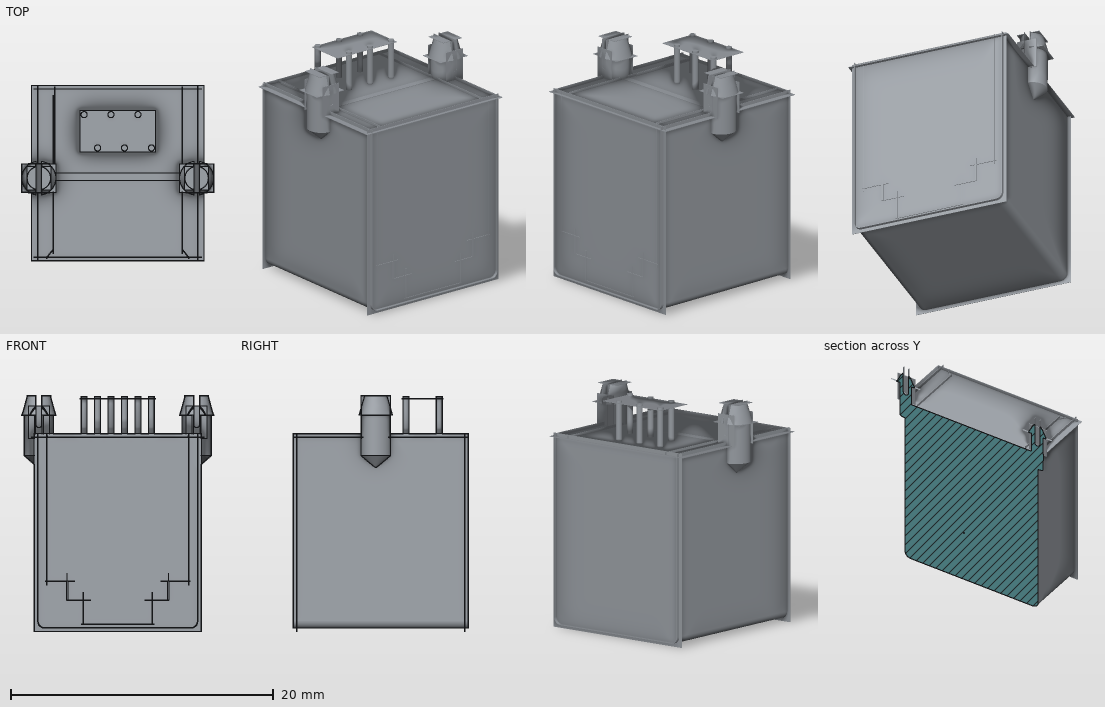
import cadquery as cq


sheet = 0.04

body_half_x = 6.1
body_length = 12.85
body_half_y = body_length / 2
body_bottom = 0.27
body_top = 14.82
corner_radius = 0.54

overrun = 0.27
end_wall_half_x = body_half_x + overrun
top_wall_half_x = 6.58
wall_length = 13.36
wall_half_y = wall_length / 2
wall_top = body_top + overrun

ridge_height = 0.05
shoulder_z = 3.85
ledge_z = 2.41
sill_z = 0.55
mouth_half_x = 5.4
step_half_x = 3.85
latch_half_x = 2.65
step_ridge_width = 0.15
ridge_tail = 0.58
ridge_tip = 0.13
shoulder_inner_x = 3.3
ledge_inner_x = 2.07

rail_x = 4.9
rail_back_y = 6.56
left_rail_back_y = 5.93
rail_height = 0.22
rail_front_y = -5.83
flare_height = 0.1
inner_rail_x = 4.78
inner_rail_front_y = 0.72
band_height = 0.04
band_width = 0.55

pin_radius = 0.23
pin_pitch = 1.02
pin_count = 6
pin_back_y = 4.46
pin_row_spacing = 2.54
pin_top = 17.9
pin_sheet_top = 17.75
pin_sheet_half_x = 2.88
pin_sheet_half_y = 1.56

peg_x = 6.0
peg_y = -0.38
peg_radius = 1.13
peg_tip_z = 12.45
peg_shoulder_z = 13.41
barb_bottom = 16.49
barb_top = 17.98
barb_bottom_radius = 1.3
barb_top_radius = 0.88
collar_width = 2.65
collar_half_x = collar_width / 2
collar_half_y = 1.08
cap_half_x = 0.92
cap_half_y = 0.9
slot_half_width = 0.22
slot_bottom = 15.53
cheek_bottom = 14.73
cheek_top = 17.2
cheek_half_x = 0.81
cheek_y = 1.11


def block(x0, x1, y0, y1, z0, z1):
    """Axis-aligned box between two opposite corners."""
    return cq.Workplane("XY").box(x1 - x0, y1 - y0, z1 - z0, centered=False).translate((x0, y0, z0))


def centred_block(half_x, half_y, z0, z1):
    """Box centred on the Z axis."""
    return block(-half_x, half_x, -half_y, half_y, z0, z1)


def rounded_block(half_y, z1):
    """Housing section with rounded lower corners, running along Y."""
    section = centred_block(body_half_x, half_y, body_bottom, z1)
    return section.edges("|Y and <Z").fillet(corner_radius)


def both_sides(piece):
    """The piece together with its mirror image across X = 0."""
    return piece.union(piece.mirror("YZ"))


def make_housing():
    housing = rounded_block(body_half_y, body_top)

    for inner_y in (-body_half_y, body_half_y - sheet):
        housing = housing.union(
            block(-end_wall_half_x, end_wall_half_x, inner_y, inner_y + sheet, 0, wall_top)
        )

    housing = housing.union(centred_block(top_wall_half_x, wall_half_y, body_top - sheet, body_top))
    trough_inside = centred_block(body_half_x - sheet, wall_half_y, body_bottom + sheet, wall_top)
    trough_inside = trough_inside.edges("|Y and <Z").fillet(corner_radius - sheet)
    return housing.union(rounded_block(wall_half_y, wall_top).cut(trough_inside))


def front_ridge(x0, x1, z0, z1):
    """Ridge on the front face, rooted in the front wall."""
    return block(x0, x1, -body_half_y - ridge_height, -body_half_y + sheet, z0, z1)


def make_front_ridges():
    half = sheet / 2
    ridges = front_ridge(-mouth_half_x - half, -mouth_half_x + half, shoulder_z - ridge_tail / 2, wall_top)
    for x0, x1, z in (
        (-mouth_half_x - ridge_tip, -shoulder_inner_x, shoulder_z),
        (-step_half_x - half, -ledge_inner_x, ledge_z),
        (-latch_half_x - ridge_tip, 0, sill_z),
    ):
        ridges = ridges.union(front_ridge(x0, x1, z - half, z + half))
    for x, width, z0, z1 in (
        (step_half_x, step_ridge_width, ledge_z, shoulder_z),
        (step_half_x + half, sheet, shoulder_z, shoulder_z + ridge_tail),
        (latch_half_x, sheet, sill_z, ledge_z + ridge_tail),
    ):
        ridges = ridges.union(front_ridge(-x - width / 2, -x + width / 2, z0, z1))
    return both_sides(ridges)


def make_top_ridges():
    base_z = body_top - sheet
    rail_top = body_top + rail_height
    rail_end_y = rail_front_y - ridge_tail / 2
    left_rail = block(-rail_x - sheet, -rail_x, rail_end_y, left_rail_back_y, base_z, rail_top)
    right_rail = block(rail_x, rail_x + sheet, rail_end_y, rail_back_y, base_z, rail_top)
    inner_rail = block(
        -inner_rail_x - sheet, -inner_rail_x, inner_rail_front_y, rail_back_y, base_z, rail_top
    )

    flare = (
        cq.Workplane("XY", origin=(0, 0, base_z))
        .polyline(
            [
                (-rail_x, rail_front_y),
                (-rail_x - sheet, rail_front_y),
                (-mouth_half_x - sheet, -body_half_y),
                (-mouth_half_x, -body_half_y),
            ]
        )
        .close()
        .extrude(sheet + flare_height)
    )
    band = block(-rail_x, rail_x, -band_width, 0, base_z, body_top + band_height)
    return both_sides(flare).union(left_rail).union(right_rail).union(inner_rail).union(band)


def make_pins():
    middle_y = pin_back_y - pin_row_spacing / 2
    pins = centred_block(pin_sheet_half_x, pin_sheet_half_y, pin_sheet_top - sheet, pin_sheet_top)
    pins = pins.translate((0, middle_y, 0))
    for index in range(pin_count):
        x = (index - (pin_count - 1) / 2) * pin_pitch
        y = pin_back_y - pin_row_spacing * (index % 2)
        pin = cq.Workplane("XY", origin=(x, y, body_top - sheet)).circle(pin_radius)
        pins = pins.union(pin.extrude(pin_top - body_top + sheet))
    return pins


def make_peg():
    peg = (
        cq.Workplane("XZ")
        .polyline(
            [
                (0, peg_tip_z),
                (peg_radius, peg_shoulder_z),
                (peg_radius, barb_bottom),
                (barb_bottom_radius, barb_bottom),
                (barb_top_radius, barb_top),
                (0, barb_top),
            ]
        )
        .close()
        .revolve(360, (0, 0, 0), (0, 1, 0))
    )
    peg = peg.union(centred_block(collar_half_x, collar_half_y, barb_bottom - sheet, barb_bottom))
    peg = peg.union(centred_block(cap_half_x, cap_half_y, barb_top - sheet, barb_top))
    wall_half_x = slot_half_width + sheet
    peg = peg.union(centred_block(wall_half_x, peg_radius, cheek_bottom, barb_top))

    slot_axis_z = slot_bottom + slot_half_width
    slot = centred_block(slot_half_width, 2 * peg_radius, slot_axis_z, barb_top)
    slot_end = cq.Workplane("XZ").center(0, slot_axis_z).circle(slot_half_width)
    peg = peg.cut(slot.union(slot_end.extrude(2 * peg_radius, both=True)))

    for inner_y in (-cheek_y, cheek_y - sheet):
        peg = peg.union(
            block(-cheek_half_x, cheek_half_x, inner_y, inner_y + sheet, cheek_bottom, cheek_top)
        )
    return peg.translate((-peg_x, peg_y, 0))


result = (
    make_housing()
    .union(make_front_ridges())
    .union(make_top_ridges())
    .union(make_pins())
    .union(both_sides(make_peg()))
)